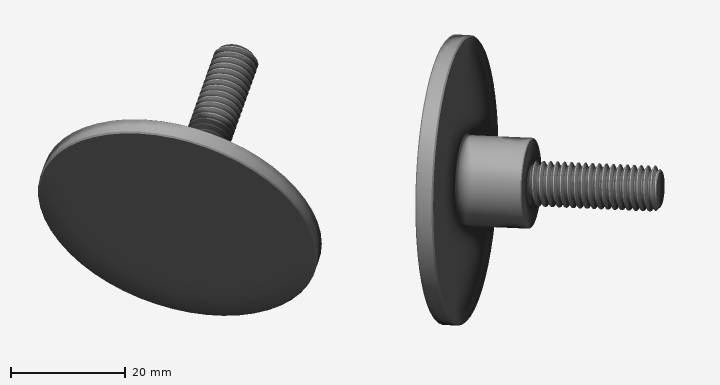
import cadquery as cq
import math


disc_diameter = 50.8
disc_thickness = 3.2
disc_edge_chamfer = 0.25
boss_diameter = 15.9
boss_height = 11.8
boss_rim_chamfer = 0.15
boss_root_chamfer = 0.3
boss_top = disc_thickness + boss_height

sleeve_diameter = 14.35
bushing_diameter = 8.75
shank_diameter = 4.45

overall_length = 38.1
thread_length = overall_length - boss_top
thread_diameter = 8.05
thread_root_diameter = 6.45
exposed_pitches = 17
exposed_pitches_length = 21.25
thread_pitch = exposed_pitches_length / exposed_pitches
thread_flat = thread_pitch / 8
first_crest_below_tip = 0.75
ridge_overlap = 0.1
run_out_turns = 2
bar_extra_turns = 2


def make_cylinder(diameter, bottom, height):
    return cq.Workplane("XY").workplane(offset=bottom).circle(diameter / 2).extrude(height)


def make_tube(outer_diameter, bore_diameter):
    """Plain tube running from the disc's flat face to the boss's top."""
    return (
        cq.Workplane("XY")
        .circle(outer_diameter / 2)
        .circle(bore_diameter / 2)
        .extrude(boss_top)
    )


def make_cover():
    """Disc with a boss, bored through for the sleeve."""
    disc = make_cylinder(disc_diameter, 0, disc_thickness).edges().chamfer(disc_edge_chamfer)
    boss = make_cylinder(boss_diameter, disc_thickness, boss_height)
    boss = boss.faces(">Z").chamfer(boss_rim_chamfer)
    boss_radius = boss_diameter / 2
    root_flare = cq.Workplane("XY").add(
        cq.Solid.makeCone(
            boss_radius + boss_root_chamfer,
            boss_radius,
            boss_root_chamfer,
            pnt=cq.Vector(0, 0, disc_thickness),
        )
    )
    bore = make_cylinder(sleeve_diameter, 0, boss_top)
    return disc.union(boss).union(root_flare).cut(bore)


def make_thread_ridge():
    """Right-handed helical ridge, started below the boss's top and run past the stud's tip."""
    root_radius = thread_root_diameter / 2
    base_radius = root_radius - ridge_overlap
    crest_radius = thread_diameter / 2
    half_crest = thread_flat / 2
    half_root = (thread_pitch - thread_flat) / 2
    flank_slope = (half_root - half_crest) / (crest_radius - root_radius)
    half_base = half_root + flank_slope * ridge_overlap

    turns = math.ceil(thread_length / thread_pitch)
    turns_below_crest = turns + run_out_turns
    start = overall_length - first_crest_below_tip - turns_below_crest * thread_pitch
    helix_height = (turns_below_crest + run_out_turns) * thread_pitch
    helix = cq.Wire.makeHelix(thread_pitch, helix_height, root_radius, center=cq.Vector(0, 0, start))
    return (
        cq.Workplane("XZ")
        .polyline(
            [
                (base_radius, start - half_base),
                (crest_radius, start - half_crest),
                (crest_radius, start + half_crest),
                (base_radius, start + half_base),
            ]
        )
        .close()
        .sweep(cq.Workplane("XY").add(helix), isFrenet=True)
    )


def make_stud():
    """Plain shank in the bushing, then a threaded length with a chamfered tip."""
    run_out = (run_out_turns + bar_extra_turns) * thread_pitch
    bar = make_cylinder(thread_root_diameter, boss_top - run_out, thread_length + 2 * run_out)
    tip_chamfer = (thread_diameter - thread_root_diameter) / 2
    envelope = make_cylinder(thread_diameter + 2 * ridge_overlap, boss_top, thread_length)
    envelope = envelope.faces(">Z").chamfer(tip_chamfer + ridge_overlap)
    threaded_length = bar.union(make_thread_ridge()).intersect(envelope)
    shank = make_cylinder(shank_diameter, 0, boss_top)
    return threaded_length.union(shank)


cover = make_cover()
sleeve = make_tube(sleeve_diameter, bushing_diameter)
bushing = make_tube(bushing_diameter, shank_diameter)
stud = make_stud()

bodies = [body.solids().val() for body in (cover, sleeve, bushing, stud)]
upright = cq.Compound.makeCompound(bodies)
axis_to_y = -90
assembly = upright.rotate(cq.Vector(0, 0, 0), cq.Vector(1, 0, 0), axis_to_y)
result = cq.Compound.makeCompound([*assembly.Solids()])